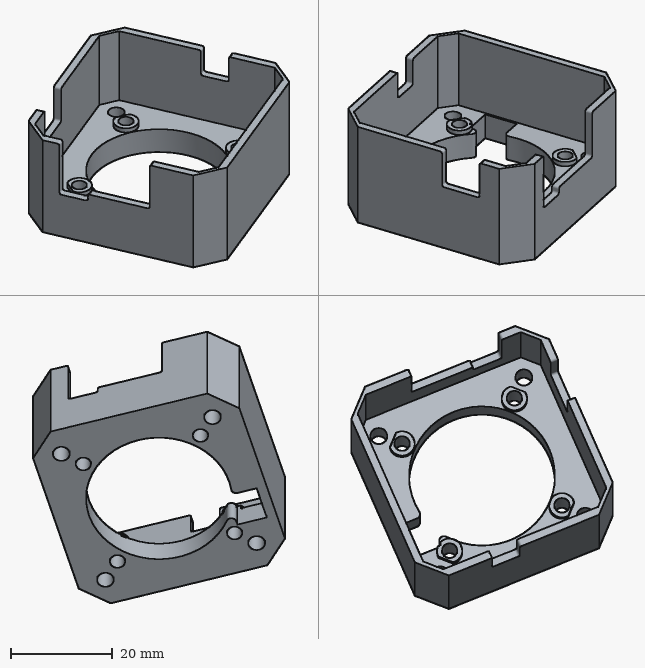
import cadquery as cq
import math

side = 42.3
height = 22.0
outer_chamfer = 5.1
wall = 1.6
inner_side = side - 2 * wall
inner_chamfer = 3.0
floor_thickness = 5.5

bore_diameter = 28.7
slot_x_min = 13.1
slot_x_max = 19.1
slot_y_min = 3.1
slot_y_max = 10.25
slot_corner_radius = 1.0

corner_hole_diameter = 3.3
corner_hole_pitch = 31.0
collar_hole_diameter = 3.0
collar_hole_pitch = 24.0
collar_diameter = 5.0
collar_height = 1.0
collar_flat_distance = 1.95

notch_radius = 0.5
notch_right_x = 6.75
front_notch_left_x = -12.45
front_notch_step_x = -6.4
front_notch_depth = 10.4
front_notch_step_depth = 12.0
back_notch_left_x = 0.85
back_notch_depth = 6.0
left_notch_y_min = -11.55
left_notch_y_max = -3.1
left_notch_depth = 8.0


def chamfered_block(width, block_height, chamfer):
    """Square block standing on Z = 0 with chamfered vertical edges."""
    block = cq.Workplane("XY").box(width, width, block_height, centered=(True, True, False))
    return block.edges("|Z").chamfer(chamfer)


def square_pattern_cylinders(pitch, diameter, length):
    """Four upright cylinders on the corners of a square, standing on Z = 0."""
    axes = cq.Workplane("XY").rect(pitch, pitch, forConstruction=True).vertices()
    return axes.circle(diameter / 2).extrude(length)


def make_cup():
    cavity = chamfered_block(inner_side, height, inner_chamfer).translate((0, 0, floor_thickness))
    return chamfered_block(side, height, outer_chamfer).cut(cavity)


def add_collars(body):
    """Stand a low collar on the floor at each inner hole, flattened towards the corner."""
    collars = square_pattern_cylinders(collar_hole_pitch, collar_diameter, floor_thickness + collar_height)
    flat_to_flat = math.sqrt(2) * collar_hole_pitch + 2 * collar_flat_distance
    flats = cq.Workplane("XY").rect(flat_to_flat, flat_to_flat).extrude(height)
    flats = flats.rotate((0, 0, 0), (0, 0, 1), 45)
    return body.union(collars.intersect(flats))


def floor_opening():
    """Round bore joined to the cable slot, with the two corners where they meet rounded."""
    bore_radius = bore_diameter / 2
    bore = cq.Workplane("XY").circle(bore_radius).extrude(height)
    slot = (
        cq.Workplane("XY")
        .moveTo((slot_x_min + slot_x_max) / 2, (slot_y_min + slot_y_max) / 2)
        .rect(slot_x_max - slot_x_min, slot_y_max - slot_y_min)
        .extrude(height)
    )
    lower_corner = (math.sqrt(bore_radius**2 - slot_y_min**2), slot_y_min, height / 2)
    upper_corner = (slot_x_min, math.sqrt(bore_radius**2 - slot_x_min**2), height / 2)
    opening = bore.union(slot)
    for corner in (lower_corner, upper_corner):
        opening = opening.edges(cq.selectors.NearestToPointSelector(corner)).fillet(slot_corner_radius)
    return opening


def cut_floor(body):
    body = body.cut(floor_opening())
    body = body.cut(square_pattern_cylinders(corner_hole_pitch, corner_hole_diameter, height))
    return body.cut(square_pattern_cylinders(collar_hole_pitch, collar_hole_diameter, height))


def notch_cutter(floor_points):
    """Cutter for a rim notch, in XZ, reaching from the -Y face through the wall.

    floor_points run left to right along the notch floor as (position, depth below rim).
    The cutter widens above the rim, so that the rim corners come out rounded.
    """
    left = floor_points[0][0]
    right = floor_points[-1][0]
    margin = 2 * notch_radius
    outline = [(position, height - depth) for position, depth in floor_points]
    outline += [
        (right, height),
        (right + margin, height),
        (right + margin, height + margin),
        (left - margin, height + margin),
        (left - margin, height),
        (left, height),
    ]
    cutter = cq.Workplane("XZ", origin=(0, -side / 2 + wall, 0)).polyline(outline).close().extrude(wall)
    rounded = cq.selectors.BoxSelector(
        (left - notch_radius, -side, 0),
        (right + notch_radius, side, height + notch_radius),
    )
    return cutter.edges("|Y").edges(rounded).fillet(notch_radius)


def cut_notches(body):
    front = notch_cutter([
        (front_notch_left_x, front_notch_step_depth),
        (front_notch_step_x, front_notch_step_depth),
        (front_notch_step_x, front_notch_depth),
        (notch_right_x, front_notch_depth),
    ])
    back = notch_cutter([
        (back_notch_left_x, back_notch_depth),
        (notch_right_x, back_notch_depth),
    ]).translate((0, side - wall, 0))
    left = notch_cutter([
        (-left_notch_y_max, left_notch_depth),
        (-left_notch_y_min, left_notch_depth),
    ]).rotate((0, 0, 0), (0, 0, 1), -90)
    return body.cut(front).cut(back).cut(left)


result = cut_notches(cut_floor(add_collars(make_cup())))